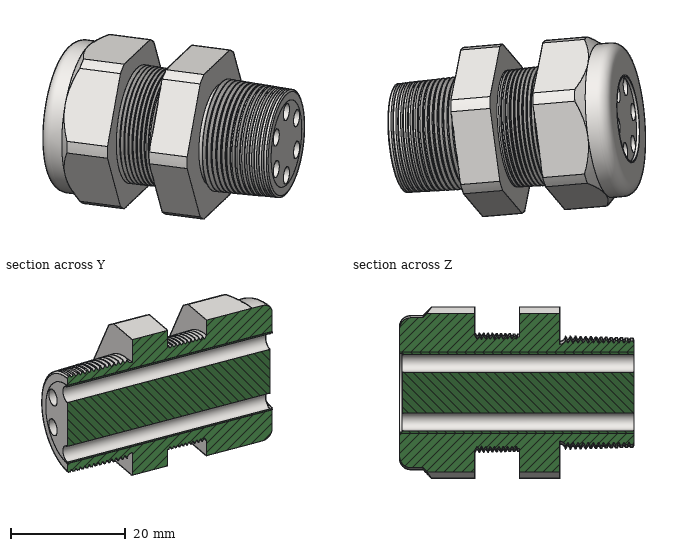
import cadquery as cq
import math


total_length = 40.9
cap_end = 13.15
collar_start = 20.9
collar_end = 27.95

across_flats = 26.9
corner_diameter = 29.9
inscribed_radius = across_flats / 2
corner_radius = corner_diameter / 2

dome_radius = 2.0
dome_length = 4.15
corner_chamfer = corner_radius - inscribed_radius

flank_slope = math.tan(math.radians(60))
crest_taper = 1 / 32
front_groove_count = 10
front_last_groove = 20.35
front_pitch = (front_last_groove - cap_end) / (front_groove_count - 0.5)
front_root_radius = 9.8
front_crest_radius = 10.45
rear_groove_count = 14
rear_first_crest = 28.9
rear_pitch = (total_length - rear_first_crest) / (rear_groove_count - 0.5)
rear_root_radius = 9.15
rear_crest_radius = 9.9

neck_radius = 9.0

insert_radius = 7.7
recess_radius = 7.45
recess_depth = 0.5
cable_hole_count = 6
cable_hole_diameter = 3.03
cable_hole_circle_radius = 5.9


def cylinder(start, length, radius):
    return cq.Workplane("YZ", origin=(start, 0, 0)).circle(radius).extrude(length)


def revolved(profile):
    """Turn a closed profile, drawn as X and radius, about the X axis."""
    return profile.close().revolve(360, (0, 0, 0), (1, 0, 0))


def hexagon(start, end):
    """Hexagonal prism with flats facing +Z and -Z and its corners turned to a cylinder."""
    across_corners = across_flats / math.cos(math.radians(30))
    prism = cq.Workplane("YZ", origin=(start, 0, 0)).polygon(6, across_corners).extrude(end - start)
    return prism.intersect(cylinder(start, end - start, corner_radius))


def domed_cap():
    front = cylinder(0, dome_length, inscribed_radius).faces("<X").edges().fillet(dome_radius)
    trim = revolved(
        cq.Workplane("XY")
        .moveTo(dome_length, 0)
        .lineTo(dome_length, inscribed_radius)
        .lineTo(dome_length + corner_chamfer, corner_radius)
        .lineTo(cap_end, corner_radius)
        .lineTo(cap_end, 0)
    )
    return front.union(hexagon(dome_length, cap_end).intersect(trim))


def thread(start, end, pitch, root_radius, crest_radius, groove_count):
    """Slightly conical shank with V grooves, starting with a crest of the given radius."""
    shank = revolved(
        cq.Workplane("XY")
        .moveTo(start, 0)
        .lineTo(start, crest_radius)
        .lineTo(end, crest_radius - crest_taper * (end - start))
        .lineTo(end, 0)
    )
    groove_half_width = pitch / 2
    groove_top = root_radius + flank_slope * groove_half_width
    for number in range(groove_count):
        bottom = start + (number + 0.5) * pitch
        groove = revolved(
            cq.Workplane("XY")
            .moveTo(bottom, root_radius)
            .lineTo(bottom + groove_half_width, groove_top)
            .lineTo(bottom - groove_half_width, groove_top)
        )
        shank = shank.cut(groove)
    return shank


def front_thread():
    return thread(
        start=cap_end,
        end=collar_start,
        pitch=front_pitch,
        root_radius=front_root_radius,
        crest_radius=front_crest_radius,
        groove_count=front_groove_count,
    )


def rear_thread():
    rings = thread(
        start=rear_first_crest,
        end=total_length,
        pitch=rear_pitch,
        root_radius=rear_root_radius,
        crest_radius=rear_crest_radius,
        groove_count=rear_groove_count,
    )
    return neck().union(rings)


def neck():
    """Relief behind the collar that flares in a quarter circle to the first crest of the rear thread."""
    flare_radius = rear_crest_radius - neck_radius
    flare_start = rear_first_crest - flare_radius
    flare_middle = (
        flare_start + flare_radius * math.sin(math.pi / 4),
        rear_crest_radius - flare_radius * math.cos(math.pi / 4),
    )
    return revolved(
        cq.Workplane("XY")
        .moveTo(collar_end, 0)
        .lineTo(collar_end, neck_radius)
        .lineTo(flare_start, neck_radius)
        .threePointArc(flare_middle, (rear_first_crest, rear_crest_radius))
        .lineTo(rear_first_crest, 0)
    )


def make_housing():
    outside = domed_cap()
    outside = outside.union(front_thread())
    outside = outside.union(hexagon(collar_start, collar_end))
    outside = outside.union(rear_thread())
    return outside.cut(cylinder(0, total_length, insert_radius))


def make_insert():
    body = cylinder(0, total_length, insert_radius).cut(cylinder(0, recess_depth, recess_radius))
    cable_holes = (
        cq.Workplane("YZ")
        .polarArray(cable_hole_circle_radius, 90, 360, cable_hole_count)
        .circle(cable_hole_diameter / 2)
        .extrude(total_length)
    )
    return body.cut(cable_holes)


housing = make_housing()
insert = make_insert()
result = cq.Compound.makeCompound([housing.val(), insert.val()])